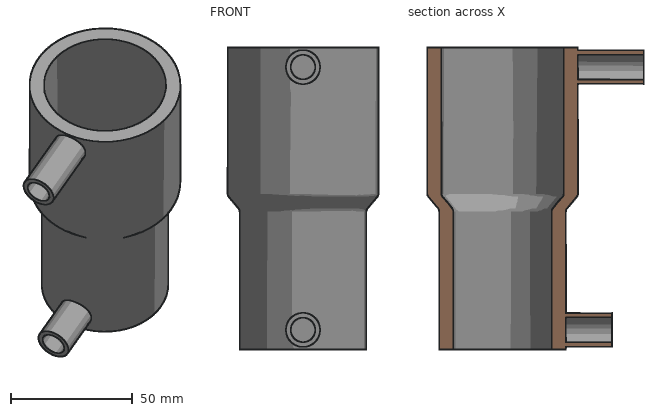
import cadquery as cq

total_height = 124.0
upper_radius = 31.0
upper_bore_radius = 25.0
lower_radius = 26.0
lower_bore_radius = 20.1
cone_bottom = 57.3
cone_top = 63.2
edge_round = 1.9

pipe_radius = 7.0
pipe_bore_radius = 5.02
pipe_end_offset = 8.0
upper_pipe_reach = 58.0
lower_pipe_reach = 45.0


def stepped_solid(lower, upper):
    """Solid of revolution: two cylinders joined by a cone with rounded edges."""
    body = (
        cq.Workplane("XZ")
        .polyline([
            (0, 0),
            (lower, 0),
            (lower, cone_bottom),
            (upper, cone_top),
            (upper, total_height),
            (0, total_height),
        ])
        .close()
        .revolve(360, (0, 0, 0), (0, 1, 0))
    )
    cone_edges = cq.selectors.BoxSelector(
        (-upper, -upper, cone_bottom - 1.2),
        (upper, upper, cone_top + 1.2),
    )
    return body.edges(cone_edges).fillet(edge_round)


def side_pipe(height, reach):
    """Hollow pipe from the tube axis out to Y = -reach."""
    return (
        cq.Workplane("XZ", origin=(0, 0, height))
        .circle(pipe_radius)
        .circle(pipe_bore_radius)
        .extrude(reach)
    )


lower_pipe = side_pipe(pipe_end_offset, lower_pipe_reach)
upper_pipe = side_pipe(total_height - pipe_end_offset, upper_pipe_reach)
outer_body = stepped_solid(lower_radius, upper_radius)
main_bore = stepped_solid(lower_bore_radius, upper_bore_radius)

result = outer_body.union(lower_pipe).union(upper_pipe).cut(main_bore)